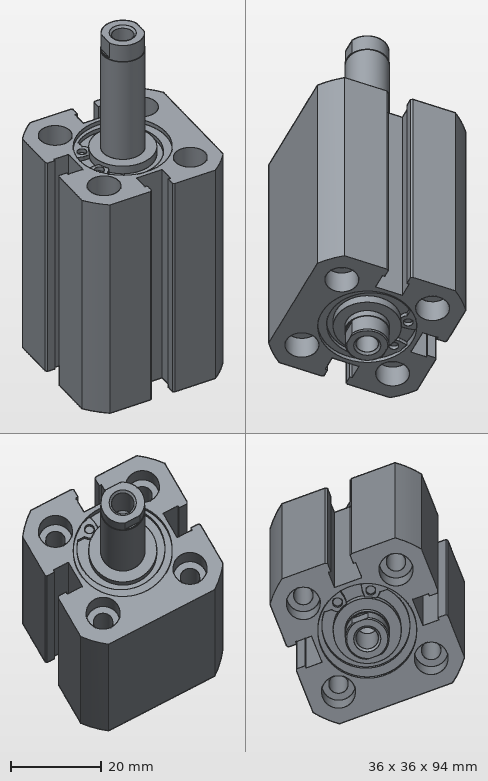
import cadquery as cq
import math

LENGTH = 94.0
LOWER_REACH = 6.0
UPPER_REACH = 31.0
HOUSING_BOTTOM = LOWER_REACH
HOUSING_TOP = LENGTH - UPPER_REACH
HOUSING_HEIGHT = HOUSING_TOP - HOUSING_BOTTOM
MIDDLE = (HOUSING_BOTTOM + HOUSING_TOP) / 2

WIDTH = 36.0
CORNER_DIAMETER = 44.9
SCREW_SPACING = 22.0
SCREW_DIAMETER = 4.3
COUNTERBORE_DIAMETER = 7.5
COUNTERBORE_DEPTH = 6.0
SLOT_WIDTH = 6.5
SLOT_DEPTH = 6.0
MOUTH_WIDTH = 5.4
LIP_THICKNESS = 2.3
MOUTH_BEVEL_WIDTH = 0.5
MOUTH_BEVEL_DEPTH = 0.3
SLOT_ANGLES = (0, 180, 270)

SEAT_DIAMETER = 22.0
NECK_DIAMETER = 15.1
RING_RECESS = 1.0
RING_THICKNESS = 1.0
FLANGE_RECESS = RING_RECESS + RING_THICKNESS
SEAT_DEPTH = 11.3

RING_INNER_RADIUS = 9.8
RING_WIDEST = 2.1
RING_OFFSET = SEAT_DIAMETER / 2 - RING_WIDEST - RING_INNER_RADIUS
EAR_EDGE_Y = -7.1
EAR_RADIUS = 2.1
EAR_X = 3.95
EAR_Y = -8.2
EAR_HOLE_DIAMETER = 2.2
GAP_INNER_WIDTH = 4.2
GAP_OUTER_WIDTH = 5.2
GAP_BEND_Y = -8.7

ROD_DIAMETER = 10.0
TIP_DIAMETER = 9.7
TIP_LENGTH = 4.4
FLAT_SPACING = 8.9
FLAT_LENGTH = 4.0
LOWER_TIP_CHAMFER = 0.3
THREAD_DIAMETER = 5.0
THREAD_DEPTH = 12.0
MOUTH_DIAMETER = 6.0
POINT_ANGLE = 118


def cylinder(diameter, bottom, top):
    return cq.Workplane("XY").workplane(offset=bottom).circle(diameter / 2).extrude(top - bottom)


def mirrored_end(upper_body):
    """The same body at the lower end of the housing."""
    return upper_body.mirror("XY", (0, 0, MIDDLE))


def slot_cutter(angle):
    """T-shaped sensor slot with a bevelled mouth, shaped on the +X side and then turned."""
    face_x = WIDTH / 2
    floor_x = face_x - SLOT_DEPTH
    lip_x = face_x - LIP_THICKNESS
    half_slot = SLOT_WIDTH / 2
    half_mouth = MOUTH_WIDTH / 2
    return (
        cq.Workplane("XY").workplane(offset=HOUSING_BOTTOM)
        .moveTo(floor_x, 0)
        .lineTo(floor_x, half_slot)
        .lineTo(lip_x, half_slot)
        .lineTo(lip_x, half_mouth)
        .lineTo(face_x - MOUTH_BEVEL_DEPTH, half_mouth)
        .lineTo(face_x, half_mouth + MOUTH_BEVEL_WIDTH)
        .lineTo(face_x, 0)
        .mirrorX().extrude(HOUSING_HEIGHT)
        .rotate((0, 0, 0), (0, 0, 1), angle)
    )


def screw_points(bottom):
    return (
        cq.Workplane("XY").workplane(offset=bottom)
        .rect(SCREW_SPACING, SCREW_SPACING, forConstruction=True).vertices()
    )


def make_housing():
    body = (
        cq.Workplane("XY").workplane(offset=HOUSING_BOTTOM)
        .rect(WIDTH, WIDTH).extrude(HOUSING_HEIGHT)
        .intersect(cylinder(CORNER_DIAMETER, HOUSING_BOTTOM, HOUSING_TOP))
    )
    for angle in SLOT_ANGLES:
        body = body.cut(slot_cutter(angle))

    body = body.cut(screw_points(HOUSING_BOTTOM).circle(SCREW_DIAMETER / 2).extrude(HOUSING_HEIGHT))
    for bottom in (HOUSING_BOTTOM, HOUSING_TOP - COUNTERBORE_DEPTH):
        counterbores = screw_points(bottom).circle(COUNTERBORE_DIAMETER / 2).extrude(COUNTERBORE_DEPTH)
        body = body.cut(counterbores)

    seat = cylinder(SEAT_DIAMETER, HOUSING_TOP - SEAT_DEPTH, HOUSING_TOP)
    rod_passage = cylinder(ROD_DIAMETER, HOUSING_BOTTOM, HOUSING_TOP)
    return body.cut(seat).cut(mirrored_end(seat)).cut(rod_passage)


def make_collar():
    """Flanged rod guide at the upper end; its neck is flush with the housing face."""
    flange = cylinder(SEAT_DIAMETER, HOUSING_TOP - SEAT_DEPTH, HOUSING_TOP - FLANGE_RECESS)
    neck = cylinder(NECK_DIAMETER, HOUSING_TOP - FLANGE_RECESS, HOUSING_TOP)
    rod_hole = cylinder(ROD_DIAMETER, HOUSING_TOP - SEAT_DEPTH, HOUSING_TOP)
    return flange.union(neck).cut(rod_hole)


def make_ring():
    """Retaining ring with two eared ends, resting on the upper collar's flange."""
    bottom = HOUSING_TOP - FLANGE_RECESS
    top = HOUSING_TOP - RING_RECESS
    outer_radius = SEAT_DIAMETER / 2
    plane = cq.Workplane("XY").workplane(offset=bottom)

    opening = plane.center(0, RING_OFFSET).circle(RING_INNER_RADIUS).extrude(RING_THICKNESS)
    above_ears = (
        plane.center(0, EAR_EDGE_Y + outer_radius)
        .rect(2 * outer_radius, 2 * outer_radius).extrude(RING_THICKNESS)
    )
    ears = plane.pushPoints([(-EAR_X, EAR_Y), (EAR_X, EAR_Y)])
    gap = (
        plane.moveTo(-GAP_INNER_WIDTH / 2, 0)
        .lineTo(-GAP_INNER_WIDTH / 2, GAP_BEND_Y)
        .lineTo(-GAP_OUTER_WIDTH / 2, -outer_radius)
        .lineTo(GAP_OUTER_WIDTH / 2, -outer_radius)
        .lineTo(GAP_INNER_WIDTH / 2, GAP_BEND_Y)
        .lineTo(GAP_INNER_WIDTH / 2, 0)
        .close().extrude(RING_THICKNESS)
    )
    return (
        cylinder(SEAT_DIAMETER, bottom, top)
        .cut(opening.intersect(above_ears))
        .union(ears.circle(EAR_RADIUS).extrude(RING_THICKNESS))
        .cut(cylinder(NECK_DIAMETER, bottom, top))
        .cut(gap)
        .cut(ears.circle(EAR_HOLE_DIAMETER / 2).extrude(RING_THICKNESS))
    )


def tip_flat_cutter():
    """Material outside the two wrench flats of the upper tip."""
    flats = cq.Workplane("XY").workplane(offset=LENGTH - FLAT_LENGTH)
    around_tip = flats.rect(2 * ROD_DIAMETER, 2 * ROD_DIAMETER).extrude(FLAT_LENGTH)
    between_flats = flats.rect(2 * ROD_DIAMETER, FLAT_SPACING).extrude(FLAT_LENGTH)
    return around_tip.cut(between_flats)


def tip_hole_cutter():
    """Threaded hole in the upper tip: countersunk mouth, straight bore, drill point."""
    mouth_radius = MOUTH_DIAMETER / 2
    radius = THREAD_DIAMETER / 2
    point_depth = radius / math.tan(math.radians(POINT_ANGLE / 2))
    return (
        cq.Workplane("XZ")
        .moveTo(0, LENGTH)
        .lineTo(mouth_radius, LENGTH)
        .lineTo(radius, LENGTH - (mouth_radius - radius))
        .lineTo(radius, LENGTH - THREAD_DEPTH)
        .lineTo(0, LENGTH - THREAD_DEPTH - point_depth)
        .close().revolve(360, (0, 0, 0), (0, 1, 0))
    )


def make_rod():
    """Rod running right through, with the same flats and threaded hole at each tip."""
    body = (
        cylinder(TIP_DIAMETER, 0, LENGTH)
        .faces("<Z").chamfer(LOWER_TIP_CHAMFER)
        .union(cylinder(ROD_DIAMETER, TIP_LENGTH, LENGTH - TIP_LENGTH))
    )
    for cutter in (tip_flat_cutter(), tip_hole_cutter()):
        body = body.cut(cutter).cut(cutter.mirror("XY", (0, 0, LENGTH / 2)))
    return body


housing = make_housing()
rod = make_rod()
upper_collar = make_collar()
lower_collar = mirrored_end(upper_collar)
upper_ring = make_ring()
lower_ring = mirrored_end(upper_ring)

result = cq.Compound.makeCompound([
    *housing.solids().vals(),
    *rod.solids().vals(),
    *upper_collar.solids().vals(),
    *lower_collar.solids().vals(),
    *upper_ring.solids().vals(),
    *lower_ring.solids().vals(),
])